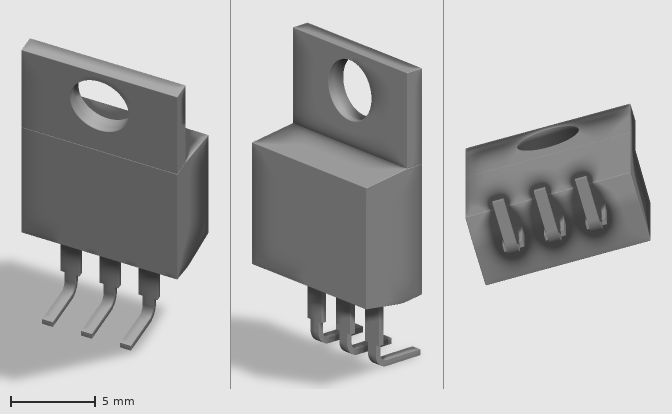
import cadquery as cq
import math

PACKAGE_WIDTH = 10.16
TAB_TOP = 19.28
BODY_DEPTH = 4.43
EDGE_RADIUS = 0.035

TAB_BOTTOM = 13.2
TAB_THICKNESS = 1.2
HOLE_DIAMETER = 3.8
HOLE_TO_TOP = 2.55

BODY_FRONT_BOTTOM = 4.94
DRAFT_SLOPE = math.tan(math.radians(7))
RIDGE_RADIUS = 2.9

LEAD_PITCH = 2.55
LEAD_OFFSETS = (-LEAD_PITCH, 0, LEAD_PITCH)
LEAD_THICKNESS = 0.37
LEAD_CENTER_Y = 1.55
LEAD_FRONT = LEAD_CENTER_Y - LEAD_THICKNESS / 2
LEAD_BACK = LEAD_CENTER_Y + LEAD_THICKNESS / 2
LEAD_REACH = 1.81
SHANK_WIDTH = 1.23
FOOT_WIDTH = 0.7
SHANK_BOTTOM = 1.55
BEND_INNER_RADIUS = 0.5
BEND_OUTER_RADIUS = BEND_INNER_RADIUS + LEAD_THICKNESS


def extrude_across(profile, width, center_x=0):
    """Extrude a YZ profile symmetrically about the plane X = center_x."""
    return profile.extrude(width / 2, both=True).translate((center_x, 0, 0))


def make_tab():
    """Flat mounting tab standing on the body, with its screw hole and softened edges."""
    plate = (
        cq.Workplane("XY", origin=(0, 0, TAB_BOTTOM))
        .box(PACKAGE_WIDTH, TAB_THICKNESS, TAB_TOP - TAB_BOTTOM, centered=(True, False, False))
    )
    hole = (
        cq.Workplane("XZ")
        .center(0, TAB_TOP - HOLE_TO_TOP)
        .circle(HOLE_DIAMETER / 2)
        .extrude(-TAB_THICKNESS)
    )
    drilled = plate.cut(hole)
    return drilled.faces("<Y or >Y or <X or >X").edges().fillet(EDGE_RADIUS)


def make_mould():
    """Moulded block: flat under the tab, drafted back top, underside falling to a rounded ridge."""
    ridge_z = BODY_FRONT_BOTTOM - LEAD_CENTER_Y * DRAFT_SLOPE
    back_bottom = ridge_z + (BODY_DEPTH - LEAD_CENTER_Y) * DRAFT_SLOPE
    back_top = TAB_BOTTOM - (BODY_DEPTH - TAB_THICKNESS) * DRAFT_SLOPE
    profile = (
        cq.Workplane("YZ")
        .moveTo(0, BODY_FRONT_BOTTOM)
        .lineTo(0, TAB_BOTTOM)
        .lineTo(TAB_THICKNESS, TAB_BOTTOM)
        .lineTo(BODY_DEPTH, back_top)
        .lineTo(BODY_DEPTH, back_bottom)
        .lineTo(LEAD_CENTER_Y, ridge_z)
        .close()
    )
    block = extrude_across(profile, PACKAGE_WIDTH)
    block = block.edges("<Z").fillet(RIDGE_RADIUS)
    return block.faces("<X or >X or <Y or >Y").edges().fillet(EDGE_RADIUS)


def make_lead(center_x):
    """Wide shank, then a narrow leg bent forward into a flat foot."""
    shank_height = BODY_FRONT_BOTTOM - SHANK_BOTTOM
    shank = (
        cq.Workplane("XY", origin=(center_x, LEAD_CENTER_Y, SHANK_BOTTOM))
        .box(SHANK_WIDTH, LEAD_THICKNESS, shank_height, centered=(True, True, False))
    )
    leg_profile = (
        cq.Workplane("YZ")
        .moveTo(-LEAD_REACH, 0)
        .lineTo(LEAD_BACK - BEND_OUTER_RADIUS, 0)
        .radiusArc((LEAD_BACK, BEND_OUTER_RADIUS), -BEND_OUTER_RADIUS)
        .lineTo(LEAD_BACK, SHANK_BOTTOM)
        .lineTo(LEAD_FRONT, SHANK_BOTTOM)
        .lineTo(LEAD_FRONT, BEND_OUTER_RADIUS)
        .radiusArc((LEAD_FRONT - BEND_INNER_RADIUS, LEAD_THICKNESS), BEND_INNER_RADIUS)
        .lineTo(-LEAD_REACH, LEAD_THICKNESS)
        .close()
    )
    return shank.union(extrude_across(leg_profile, FOOT_WIDTH, center_x))


def make_body():
    """Moulded block carrying its three leads as one solid."""
    body = make_mould()
    for center_x in LEAD_OFFSETS:
        body = body.union(make_lead(center_x))
    return body


tab = make_tab()
body = make_body()

result = cq.Compound.makeCompound([tab.val(), body.val()])